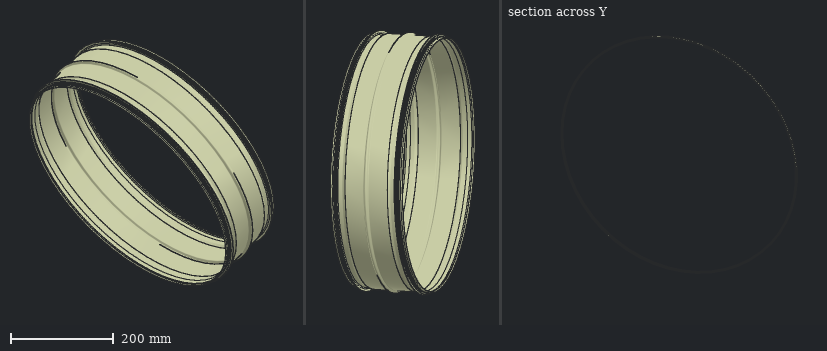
import cadquery as cq
import math

OUTER_RADIUS = 254.5
HALF_WIDTH = 146.0 / 2
SHEET = 0.5
BODY_RADIUS = 249.5
GROOVE_RADIUS = 247.0
BODY_BORE = BODY_RADIUS - SHEET
GROOVE_BORE = GROOVE_RADIUS - SHEET

BEAD_TIP_ARC = 2.5
BEAD_ROOT_ARC = 1.5
BEAD_FLANK_ANGLE = 60.0
BEAD_TIP_CENTRE_RADIUS = OUTER_RADIUS - BEAD_TIP_ARC
BEAD_ROOT_CENTRE_RADIUS = BODY_RADIUS + BEAD_ROOT_ARC
BEAD_HALF_WIDTH = (
    BEAD_TIP_ARC
    + BEAD_ROOT_ARC
    + (BEAD_TIP_CENTRE_RADIUS - BEAD_ROOT_CENTRE_RADIUS) * math.cos(math.radians(BEAD_FLANK_ANGLE))
) / math.sin(math.radians(BEAD_FLANK_ANGLE))

STEP_START = 43.0
STEP_END = 48.5
STEP_FOOT_ARC = 3.0
STEP_ANGLE = math.atan2(BODY_RADIUS - GROOVE_RADIUS, STEP_END - STEP_START)
STEP_FOOT_TANGENT = STEP_FOOT_ARC * math.tan(STEP_ANGLE / 2)

FOLD_ARC = (BODY_RADIUS - GROOVE_BORE) / 2
FOLD_CENTRE_RADIUS = GROOVE_BORE + FOLD_ARC
FOLD_CENTRE = HALF_WIDTH - FOLD_ARC
FOLD_END = 66.0

TONGUE_RADIUS = 495.5 / 2
TONGUE_END = 69.0
LARGE_LIP_START = 58.0
LARGE_LIP_END = 59.5
SMALL_LIP_RADIUS = 252.5
SMALL_LIP_TIP_THICKNESS = 0.5
SMALL_LIP_START = 62.0
SMALL_LIP_ROOT_END = 64.0


def revolve_about_y(profile):
    return profile.close().revolve(360, (0, 0, 0), (0, 1, 0))


def bead_tip_point(offset, degrees):
    """Point on the tip arc, shrunk by the offset, at an angle from the radial direction."""
    arc = BEAD_TIP_ARC - offset
    angle = math.radians(degrees)
    return (BEAD_TIP_CENTRE_RADIUS + arc * math.cos(angle), arc * math.sin(angle))


def bead_root_point(offset, degrees, side):
    """Point on the root arc, grown by the offset, of the +Y (side 1) or -Y (side -1) flank."""
    arc = BEAD_ROOT_ARC + offset
    angle = math.radians(degrees)
    return (
        BEAD_ROOT_CENTRE_RADIUS - arc * math.cos(angle),
        side * (BEAD_HALF_WIDTH - arc * math.sin(angle)),
    )


def trace_bead(profile, offset, side):
    """Bead surface at a depth in the sheet, from the root on one side to the opposite root."""
    flank = BEAD_FLANK_ANGLE
    return (
        profile
        .lineTo(*bead_root_point(offset, 0, side))
        .threePointArc(bead_root_point(offset, flank / 2, side), bead_root_point(offset, flank, side))
        .lineTo(*bead_tip_point(offset, side * flank))
        .threePointArc(bead_tip_point(offset, 0), bead_tip_point(offset, -side * flank))
        .lineTo(*bead_root_point(offset, flank, -side))
        .threePointArc(bead_root_point(offset, flank / 2, -side), bead_root_point(offset, 0, -side))
    )


def make_bead():
    profile = cq.Workplane("XY").moveTo(BODY_BORE, -BEAD_HALF_WIDTH)
    profile = trace_bead(profile, 0, -1)
    profile = trace_bead(profile, SHEET, 1)
    return revolve_about_y(profile)


def step_foot(foot_radius):
    """Start, middle and end of the rounding that joins the slope to a band of the given radius."""
    start = (
        foot_radius + STEP_FOOT_TANGENT * math.sin(STEP_ANGLE),
        STEP_END - STEP_FOOT_TANGENT * math.cos(STEP_ANGLE),
    )
    end = (foot_radius, STEP_END + STEP_FOOT_TANGENT)
    middle = (
        foot_radius + STEP_FOOT_ARC * (1 - math.cos(STEP_ANGLE / 2)),
        end[1] - STEP_FOOT_ARC * math.sin(STEP_ANGLE / 2),
    )
    return start, middle, end


def make_side():
    """Sheet on the +Y side of the bead: middle band, step, recessed band and folded end."""
    outer_start, outer_middle, outer_end = step_foot(GROOVE_RADIUS)
    inner_start, inner_middle, inner_end = step_foot(GROOVE_BORE)
    profile = (
        cq.Workplane("XY")
        .moveTo(BODY_RADIUS, BEAD_HALF_WIDTH)
        .lineTo(BODY_RADIUS, STEP_START)
        .lineTo(*outer_start)
        .threePointArc(outer_middle, outer_end)
        .lineTo(GROOVE_RADIUS, FOLD_CENTRE)
        .threePointArc((FOLD_CENTRE_RADIUS, HALF_WIDTH - SHEET), (BODY_BORE, FOLD_CENTRE))
        .lineTo(BODY_BORE, FOLD_END)
        .lineTo(BODY_RADIUS, FOLD_END)
        .lineTo(BODY_RADIUS, FOLD_CENTRE)
        .threePointArc((FOLD_CENTRE_RADIUS, HALF_WIDTH), (GROOVE_BORE, FOLD_CENTRE))
        .lineTo(*inner_end)
        .threePointArc(inner_middle, inner_start)
        .lineTo(BODY_BORE, STEP_START)
        .lineTo(BODY_BORE, BEAD_HALF_WIDTH)
    )
    return revolve_about_y(profile)


def make_duct():
    side = make_side()
    return make_bead().union(side).union(side.mirror("XZ"))


def make_gasket():
    """Gasket of the +Y end: a tongue held in the fold, a base on the recessed band and two lips."""
    profile = (
        cq.Workplane("XY")
        .moveTo(GROOVE_RADIUS, LARGE_LIP_START)
        .lineTo(OUTER_RADIUS, LARGE_LIP_START)
        .lineTo(OUTER_RADIUS, LARGE_LIP_END)
        .lineTo(BODY_RADIUS, LARGE_LIP_END)
        .lineTo(BODY_RADIUS, SMALL_LIP_START)
        .lineTo(SMALL_LIP_RADIUS, SMALL_LIP_START)
        .lineTo(SMALL_LIP_RADIUS, SMALL_LIP_START + SMALL_LIP_TIP_THICKNESS)
        .lineTo(BODY_RADIUS, SMALL_LIP_ROOT_END)
        .lineTo(BODY_RADIUS, FOLD_END)
        .lineTo(TONGUE_RADIUS, FOLD_END)
        .lineTo(TONGUE_RADIUS, TONGUE_END)
        .lineTo(GROOVE_RADIUS, TONGUE_END)
    )
    return revolve_about_y(profile)


duct = make_duct()
gasket = make_gasket()
gaskets = [gasket, gasket.mirror("XZ")]

result = cq.Compound.makeCompound([duct.val(), *[ring.val() for ring in gaskets]])